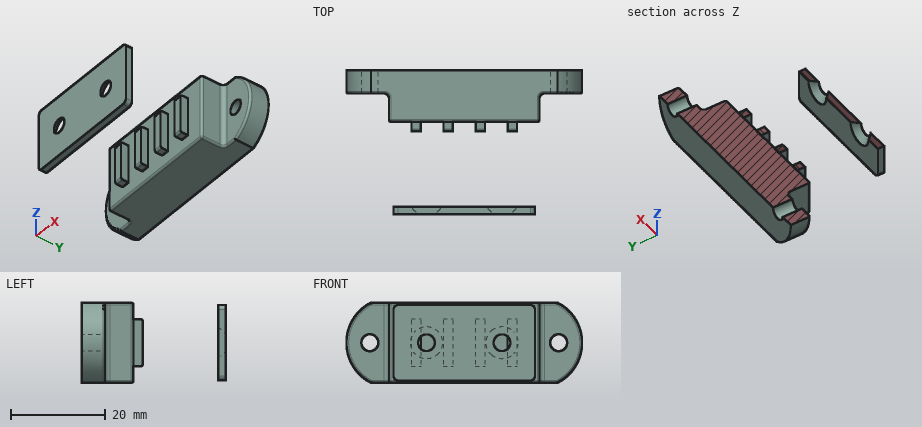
import cadquery as cq
import math

length = 50.0
height = 17.0
end_radius = 9.5
flange_depth = 5.0
block_width = 31.95
block_depth = 11.0
inner_fillet = 1.0
edge_fillet = 0.5

hole_diameter = 3.55
screw_spacing = 40.0

bar_count = 4
bar_pitch = 6.8
bar_width = 2.0
bar_height = 10.0
bar_depth = 2.0

plate_width = 30.0
plate_height = 16.0
plate_thickness = 1.65
plate_corner_radius = 1.0
plate_gap = 15.95
plate_hole_spacing = 16.0
countersink_diameter = 6.8

block_front = -block_depth
bar_front = block_front - bar_depth
plate_back = bar_front - plate_gap


def front_plane(y):
    """Sketch plane at y on the Y axis, facing -Y, with X right and Z up."""
    return cq.Workplane("XZ", origin=(0, y, 0))


def flange_body():
    """Full-length slab with flat long sides and arc-shaped ends."""
    half_length = length / 2
    half_height = height / 2
    arc_center = half_length - end_radius
    corner = arc_center + math.sqrt(end_radius**2 - half_height**2)
    return (
        front_plane(0)
        .moveTo(-corner, half_height)
        .lineTo(corner, half_height)
        .threePointArc((half_length, 0), (corner, -half_height))
        .lineTo(-corner, -half_height)
        .threePointArc((-half_length, 0), (-corner, half_height))
        .close()
        .extrude(flange_depth)
    )


def make_housing():
    """Slab and raised block in one solid, with rounded front edges and screw holes."""
    block = front_plane(0).rect(block_width, height).extrude(block_depth)
    body = flange_body().union(block)

    half_block = block_width / 2
    for side in (-1, 1):
        inner_corner = cq.selectors.NearestToPointSelector((side * half_block, -flange_depth, 0))
        body = body.edges("|Z").edges(inner_corner).fillet(inner_fillet)

    rim = body.faces("-Y").edges("not |Z").add(body.faces("<Y").edges("|Z"))
    body = body.newObject(rim.vals()).fillet(edge_fillet)

    hole_centers = [(-screw_spacing / 2, 0), (screw_spacing / 2, 0)]
    holes = front_plane(0).pushPoints(hole_centers).circle(hole_diameter / 2).extrude(flange_depth)
    return body.cut(holes)


def make_bar(x):
    """Upright contact bar with rounded top and bottom front edges."""
    bar = front_plane(block_front).center(x, 0).rect(bar_width, bar_height).extrude(bar_depth)
    return bar.faces("<Y").edges("|X").fillet(edge_fillet)


def countersunk_hole(x):
    """Conical cutter through the plate, wide at the back and narrowing to the hole size at the front."""
    return (
        front_plane(plate_back)
        .center(x, 0)
        .circle(countersink_diameter / 2)
        .workplane(offset=plate_thickness)
        .circle(hole_diameter / 2)
        .loft(ruled=True)
    )


def make_plate():
    """Flat plate with rounded corners and two countersunk holes."""
    plate = front_plane(plate_back).rect(plate_width, plate_height).extrude(plate_thickness)
    plate = plate.edges("|Y").fillet(plate_corner_radius)
    for side in (-1, 1):
        plate = plate.cut(countersunk_hole(side * plate_hole_spacing / 2))
    return plate


housing = make_housing()
first_bar = -bar_pitch * (bar_count - 1) / 2
contact_bars = [make_bar(first_bar + i * bar_pitch) for i in range(bar_count)]
plate = make_plate()

result = cq.Compound.makeCompound([housing.val(), *[bar.val() for bar in contact_bars], plate.val()])